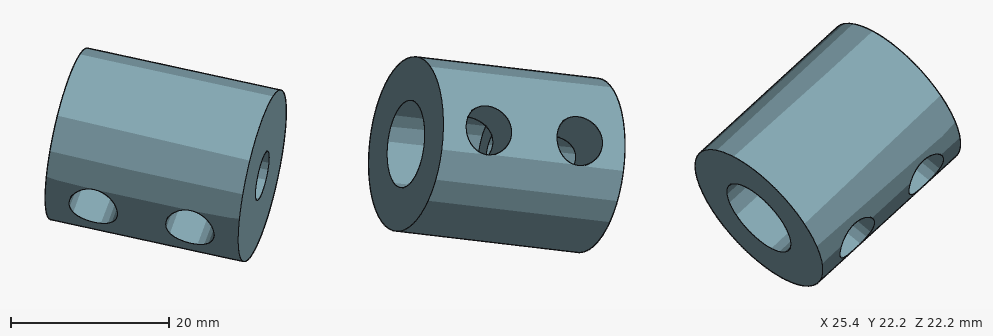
import cadquery as cq

length = 25.4
outer_diameter = 22.22
large_bore_diameter = outer_diameter / 2
small_bore_diameter = length / 4
large_bore_depth = length / 2
screw_hole_diameter = length / 4
screw_hole_positions = (length / 4, 3 * length / 4)


def rod_along_x(diameter, rod_length):
    """Solid rod on the X axis, starting at the large-bore end face."""
    return cq.Workplane("YZ").circle(diameter / 2).extrude(rod_length)


def screw_hole(x):
    """Radial cutter from the axis out through the -Y side."""
    return (
        cq.Workplane("XZ")
        .center(x, 0)
        .circle(screw_hole_diameter / 2)
        .extrude(outer_diameter / 2)
    )


body = rod_along_x(outer_diameter, length)

body = body.cut(rod_along_x(small_bore_diameter, length))
body = body.cut(rod_along_x(large_bore_diameter, large_bore_depth))

for x in screw_hole_positions:
    body = body.cut(screw_hole(x))

result = body